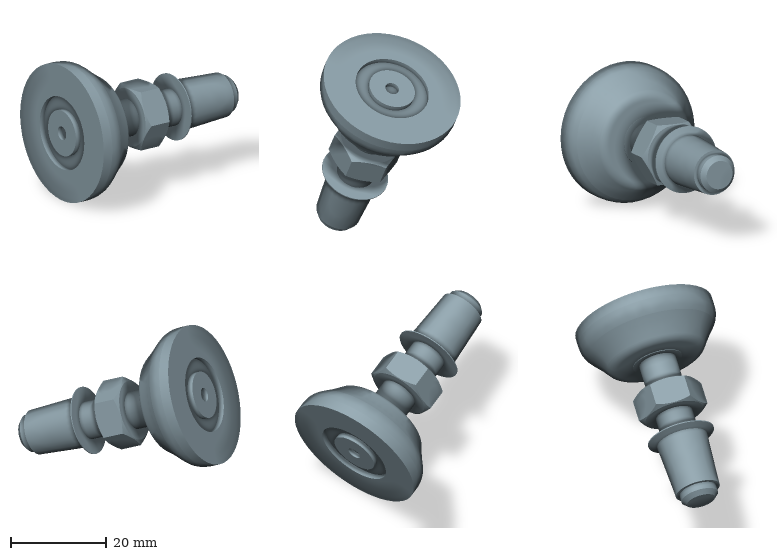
import cadquery as cq
import math

total_length = 43.7

foot_radius = 15.0
foot_height = 10.4
foot_rim_height = 2.25
shoulder_round = 4.65
shoulder_angle = math.radians(41.0)
flank_top_radius = 10.8
flank_top_height = 9.35
flat_top_radius = 8.8

recess_radius = 8.0
recess_depth = 1.2
boss_radius = 5.0
centre_hole_radius = 1.5
centre_hole_depth = 1.1

stud_radius = 4.0
stud_tip_chamfer = 0.95
collar_radius = 5.38
collar_height = 0.15

nut_start = 17.15
nut_height = 6.05
nut_across_flats = 13.0
nut_corner_radius = nut_across_flats / math.sqrt(3)
nut_face_radius = 6.3
nut_chamfer_height = (nut_corner_radius - nut_face_radius) * math.tan(math.radians(30))

sleeve_start = 28.27
sleeve_end = 41.25
flange_radius = 7.2
flange_edge_height = 0.2
flare_height = 1.0
sleeve_root_radius = 5.5
sleeve_end_radius = 4.8


def revolve_about_y(profile):
    return profile.close().revolve(360, (0, 0, 0), (0, 1, 0))


def shoulder_point(angle):
    """Point of the shoulder arc where its tangent leans by angle from the axis."""
    return (
        foot_radius - shoulder_round * (1 - math.cos(angle)),
        foot_rim_height + shoulder_round * math.sin(angle),
    )


def make_foot():
    """Foot and stud, turned as one piece."""
    body = revolve_about_y(
        cq.Workplane("XY")
        .lineTo(foot_radius, 0)
        .lineTo(foot_radius, foot_rim_height)
        .threePointArc(shoulder_point(shoulder_angle / 2), shoulder_point(shoulder_angle))
        .tangentArcPoint((flank_top_radius, flank_top_height), relative=False)
        .tangentArcPoint((flat_top_radius, foot_height), relative=False)
        .lineTo(collar_radius, foot_height)
        .lineTo(collar_radius, foot_height + collar_height)
        .lineTo(stud_radius, foot_height + collar_height)
        .lineTo(stud_radius, total_length - stud_tip_chamfer)
        .lineTo(stud_radius - stud_tip_chamfer, total_length)
        .lineTo(0, total_length)
    )
    return body.cut(make_underside_recess())


def make_underside_recess():
    underside = cq.Workplane("XZ")
    recess = underside.circle(recess_radius).extrude(-recess_depth)
    boss = underside.circle(boss_radius).extrude(-recess_depth)
    hole = underside.circle(centre_hole_radius).extrude(-centre_hole_depth)
    return recess.cut(boss).union(hole)


def make_nut():
    nut_end = nut_start + nut_height
    hexagon = (
        cq.Workplane("XZ", origin=(0, nut_start, 0))
        .polygon(6, 2 * nut_corner_radius)
        .circle(stud_radius)
        .extrude(-nut_height)
    )
    chamfer_envelope = revolve_about_y(
        cq.Workplane("XY")
        .moveTo(0, nut_start)
        .lineTo(nut_face_radius, nut_start)
        .lineTo(nut_corner_radius, nut_start + nut_chamfer_height)
        .lineTo(nut_corner_radius, nut_end - nut_chamfer_height)
        .lineTo(nut_face_radius, nut_end)
        .lineTo(0, nut_end)
    )
    return hexagon.intersect(chamfer_envelope)


def make_sleeve():
    """Tapered sleeve with a conical flare down to its flange edge."""
    return revolve_about_y(
        cq.Workplane("XY")
        .moveTo(flange_radius, sleeve_start + flange_edge_height)
        .lineTo(flange_radius, sleeve_start)
        .lineTo(stud_radius, sleeve_start)
        .lineTo(stud_radius, sleeve_end)
        .lineTo(sleeve_end_radius, sleeve_end)
        .lineTo(sleeve_root_radius, sleeve_start + flare_height)
    )


foot = make_foot()
nut = make_nut()
sleeve = make_sleeve()

result = cq.Compound.makeCompound([foot.val(), nut.val(), sleeve.val()])